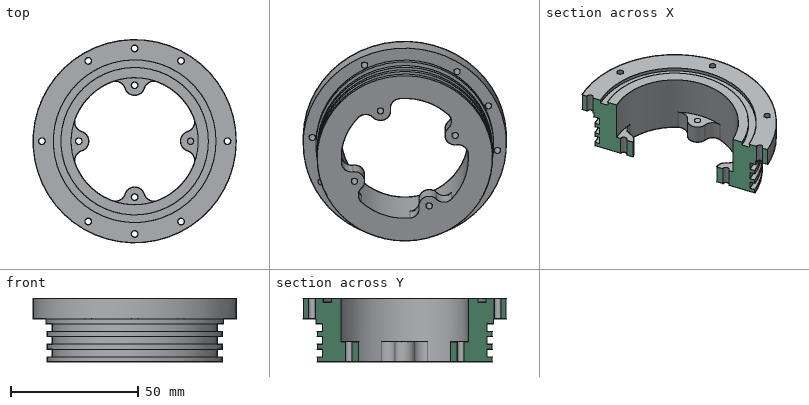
import cadquery as cq
import math

total_height = 25.0
bore_radius = 25.0

flange_radius = 40.0
flange_thickness = 8.0
flange_bottom = total_height - flange_thickness

shoulder_radius = 35.0
shoulder_height = 2.0

land_radius = 34.5
land_height = 2.0
groove_root_radius = 32.5
groove_height = 3.0
land_count = 3

seal_inner_radius = 29.0
seal_outer_radius = 32.0
seal_depth = 1.5

flange_hole_diameter = 2.5
flange_hole_circle_radius = 36.5
flange_hole_angles = (0, 60, 90, 120, 180, 240, 270, 300)

lug_count = 4
lug_height = 8.0
lug_radius = 4.0
lug_circle_radius = 22.0
lug_hole_diameter = 2.5
lug_blend_radius = 4.0
lug_root_overlap = 1.0


def disc(radius, bottom, height):
    return cq.Workplane("XY").workplane(offset=bottom).circle(radius).extrude(height)


def polar_point(radius, angle):
    """Point at a radius and an angle in degrees about the part axis."""
    radians = math.radians(angle)
    return (radius * math.cos(radians), radius * math.sin(radians))


def make_body():
    """Flange, shoulder and grooved plug as one solid of revolution."""
    body = disc(groove_root_radius, 0, flange_bottom)
    for index in range(land_count):
        land_bottom = index * (land_height + groove_height)
        body = body.union(disc(land_radius, land_bottom, land_height))
    body = body.union(disc(shoulder_radius, flange_bottom - shoulder_height, shoulder_height))
    body = body.union(disc(flange_radius, flange_bottom, flange_thickness))
    return body.cut(disc(bore_radius, 0, total_height))


def cut_seal_groove(body):
    groove_bottom = total_height - seal_depth
    groove = disc(seal_outer_radius, groove_bottom, seal_depth)
    groove = groove.cut(disc(seal_inner_radius, groove_bottom, seal_depth))
    return body.cut(groove)


def make_lug():
    """Lug on the +X side: a round nose blended tangentially into the bore wall."""
    centre_to_axis = bore_radius - lug_blend_radius
    centre_to_lug = lug_radius + lug_blend_radius
    blend_x = (lug_circle_radius**2 + centre_to_axis**2 - centre_to_lug**2) / (2 * lug_circle_radius)
    blend_y = math.sqrt(centre_to_axis**2 - blend_x**2)
    blend_angle = math.degrees(math.atan2(blend_y, blend_x))

    nose_x = lug_circle_radius + (blend_x - lug_circle_radius) * lug_radius / centre_to_lug
    nose_y = blend_y * lug_radius / centre_to_lug
    wall_x, wall_y = polar_point(bore_radius, blend_angle)
    root_radius = bore_radius + lug_root_overlap
    root_x, root_y = polar_point(root_radius, blend_angle)

    chord_mid_x = (nose_x + wall_x) / 2 - blend_x
    chord_mid_y = (nose_y + wall_y) / 2 - blend_y
    reach = lug_blend_radius / math.hypot(chord_mid_x, chord_mid_y)
    blend_mid_x = blend_x + chord_mid_x * reach
    blend_mid_y = blend_y + chord_mid_y * reach

    return (
        cq.Workplane("XY")
        .moveTo(root_x, -root_y)
        .lineTo(wall_x, -wall_y)
        .threePointArc((blend_mid_x, -blend_mid_y), (nose_x, -nose_y))
        .threePointArc((lug_circle_radius - lug_radius, 0), (nose_x, nose_y))
        .threePointArc((blend_mid_x, blend_mid_y), (wall_x, wall_y))
        .lineTo(root_x, root_y)
        .threePointArc((root_radius, 0), (root_x, -root_y))
        .close()
        .extrude(lug_height)
    )


def add_lugs(body):
    lug = make_lug()
    for index in range(lug_count):
        angle = index * 360 / lug_count
        body = body.union(lug.rotate((0, 0, 0), (0, 0, 1), angle))
        lug_hole = disc(lug_hole_diameter / 2, 0, lug_height)
        body = body.cut(lug_hole.translate((*polar_point(lug_circle_radius, angle), 0)))
    return body


def cut_flange_holes(body):
    for angle in flange_hole_angles:
        hole = disc(flange_hole_diameter / 2, flange_bottom, flange_thickness)
        body = body.cut(hole.translate((*polar_point(flange_hole_circle_radius, angle), 0)))
    return body


result = make_body()
result = cut_seal_groove(result)
result = add_lugs(result)
result = cut_flange_holes(result)